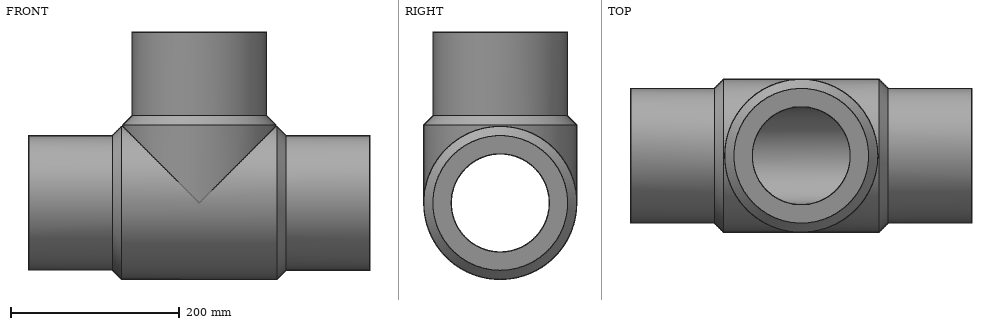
import cadquery as cq

run_length = 405.0
branch_height = 203.0
pipe_diameter = 160.0
body_diameter = 182.0
bore_diameter = 116.2
spigot_length = 99.2

run_reach = run_length / 2
pipe_radius = pipe_diameter / 2
body_radius = body_diameter / 2
bevel = body_radius - pipe_radius


def arm(reach):
    """Solid arm rising along +Z from the origin: body, bevel and spigot."""
    spigot_start = reach - spigot_length
    profile = (
        cq.Workplane("XZ")
        .lineTo(body_radius, 0)
        .lineTo(body_radius, spigot_start - bevel)
        .lineTo(pipe_radius, spigot_start)
        .lineTo(pipe_radius, reach)
        .lineTo(0, reach)
        .close()
    )
    return profile.revolve(360, (0, 0, 0), (0, 1, 0))


def turned_about_y(shape, angle):
    return shape.rotate((0, 0, 0), (0, 1, 0), angle)


result = arm(branch_height)
for angle in (-90, 90):
    result = result.union(turned_about_y(arm(run_reach), angle))

run_bore = cq.Workplane("YZ").circle(bore_diameter / 2).extrude(run_reach, both=True)
branch_bore = cq.Workplane("XY").circle(bore_diameter / 2).extrude(branch_height)
result = result.cut(run_bore).cut(branch_bore)